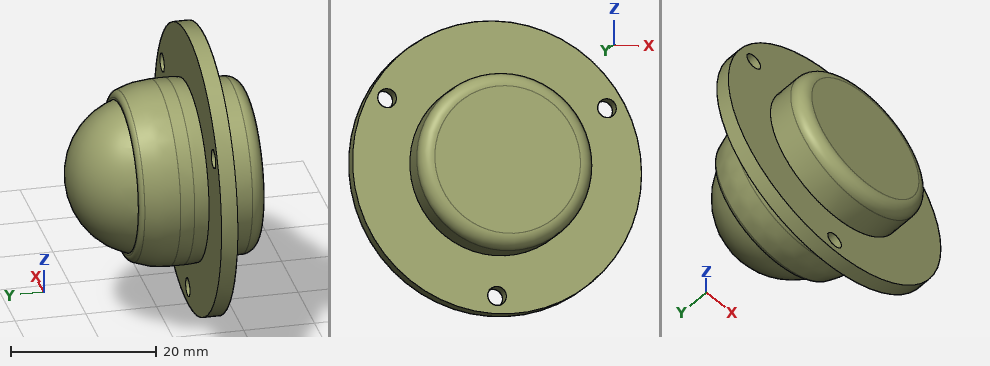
import cadquery as cq
import math


flange_radius = 20.5
flange_thickness = 2.3
hole_diameter = 2.62
hole_circle_radius = 18.0
hole_count = 3
first_hole_angle = -90.0

cup_radius = 12.4
cup_depth = 6.03
cup_fillet = 2.05

band_radius = 13.0
band_start = flange_thickness + 2.05
band_end = band_start + 1.95
root_radius = 12.87
shoulder_radius = 11.97
housing_end = 11.75
lip_height = 0.6
lip_radius = 10.95
shoulder_end = housing_end - lip_height

ball_radius = 11.2
total_depth = 25.5
ball_center = total_depth - cup_depth - ball_radius


def arc_middle(start_y, end_y, start_radius, end_radius):
    """Middle of an arc that leaves the start point parallel to the axis."""
    length = end_y - start_y
    drop = start_radius - end_radius
    arc_radius = (length**2 + drop**2) / (2 * drop)
    half_angle = math.asin(abs(length) / arc_radius) / 2
    return (
        start_radius - arc_radius * (1 - math.cos(half_angle)),
        start_y + math.copysign(arc_radius * math.sin(half_angle), length),
    )


def make_flange():
    disc = cq.Workplane("XZ").circle(flange_radius).extrude(-flange_thickness)
    holes = (
        cq.Workplane("XZ")
        .polarArray(hole_circle_radius, first_hole_angle, 360, hole_count)
        .circle(hole_diameter / 2)
        .extrude(-flange_thickness)
    )
    return disc.cut(holes)


def make_cup():
    cup = cq.Workplane("XZ").circle(cup_radius).extrude(cup_depth)
    return cup.faces("<Y").edges().fillet(cup_fillet)


def make_housing():
    root_middle = arc_middle(band_start, flange_thickness, band_radius, root_radius)
    shoulder_middle = arc_middle(band_end, shoulder_end, band_radius, shoulder_radius)
    profile = (
        cq.Workplane("XY")
        .moveTo(0, flange_thickness)
        .lineTo(root_radius, flange_thickness)
        .threePointArc(root_middle, (band_radius, band_start))
        .lineTo(band_radius, band_end)
        .threePointArc(shoulder_middle, (shoulder_radius, shoulder_end))
        .tangentArcPoint((lip_radius, housing_end), relative=False)
        .lineTo(0, housing_end)
        .close()
    )
    return profile.revolve(360, (0, 0, 0), (0, 1, 0))


def make_ball():
    return cq.Workplane("XY").sphere(ball_radius).translate((0, ball_center, 0))


result = make_flange().union(make_cup()).union(make_housing()).union(make_ball())